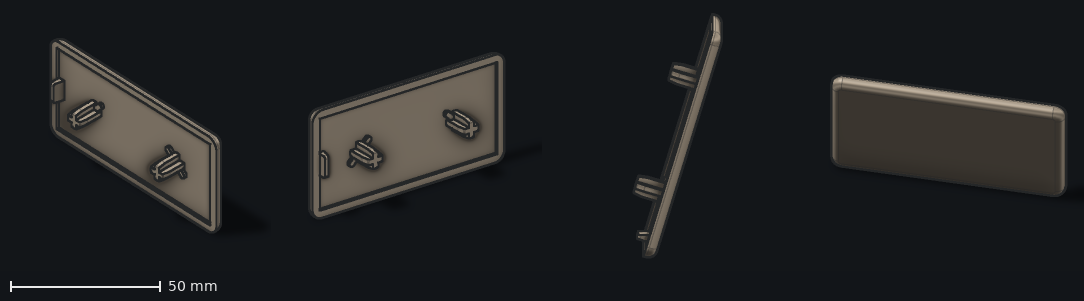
import cadquery as cq

length = 80.0
height = 40.0
thickness = 4.0
corner_radius = 4.0
back_fillet = 3.0

rim_width = 3.0
recess_depth = 1.1

post_spacing = 40.0
post_projection = 8.5
post_radius = 3.5
post_tip_radius = 3.0
post_straight = 5.5
post_tip_fillet = 0.4
arm_width = 2.2

rib_length = 12.0
rib_width = 2.2
rib_angle = 45

hook_projection = 3.0
hook_height = 8.0
hook_base_width = 2.5
hook_tip_width = 1.4
hook_fillet = 1.0


def make_plate():
    """Rounded plate with a domed back edge and a sharp-cornered front recess."""
    plate = (
        cq.Workplane("XZ")
        .rect(length, height)
        .extrude(-thickness)
        .edges("|Y")
        .fillet(corner_radius)
        .faces(">Y")
        .edges()
        .fillet(back_fillet)
    )
    recess = (
        cq.Workplane("XZ")
        .rect(length - 2 * rim_width, height - 2 * rim_width)
        .extrude(-recess_depth)
    )
    return plate.cut(recess)


def make_post():
    """Cross trimmed by a turned body with a tapered, rounded tip."""
    body = (
        cq.Workplane("XY")
        .moveTo(0, recess_depth)
        .lineTo(post_radius, recess_depth)
        .lineTo(post_radius, -post_straight)
        .lineTo(post_tip_radius, -post_projection)
        .lineTo(0, -post_projection)
        .close()
        .revolve(360, (0, 0, 0), (0, 1, 0))
        .faces("<Y")
        .edges()
        .fillet(post_tip_fillet)
    )
    floor = cq.Workplane("XZ", origin=(0, recess_depth, 0))
    post_length = post_projection + recess_depth
    upright = floor.rect(arm_width, 2 * post_radius).extrude(post_length)
    crossbar = floor.rect(2 * post_radius, arm_width).extrude(post_length)
    return body.intersect(upright.union(crossbar))


def make_rib(angle):
    """Round-ended rib filling the recess depth, turned by angle from +X."""
    return (
        cq.Workplane("XZ", origin=(0, recess_depth, 0))
        .slot2D(rib_length, rib_width, angle)
        .extrude(recess_depth)
    )


def make_hook():
    """Hook tapering on its inner side, with rounded upper and lower tip edges."""
    wall_x = -length / 2 + rim_width
    profile = [
        (wall_x, recess_depth),
        (wall_x + hook_base_width, recess_depth),
        (wall_x + hook_tip_width, -hook_projection),
        (wall_x, -hook_projection),
    ]
    return (
        cq.Workplane("XY", origin=(0, 0, -hook_height / 2))
        .polyline(profile)
        .close()
        .extrude(hook_height)
        .faces("<Y")
        .edges("|X")
        .fillet(hook_fillet)
    )


result = make_plate().union(make_hook())
for side in (-1, 1):
    foot = (side * post_spacing / 2, 0, 0)
    result = result.union(make_post().translate(foot))
    result = result.union(make_rib(-side * rib_angle).translate(foot))